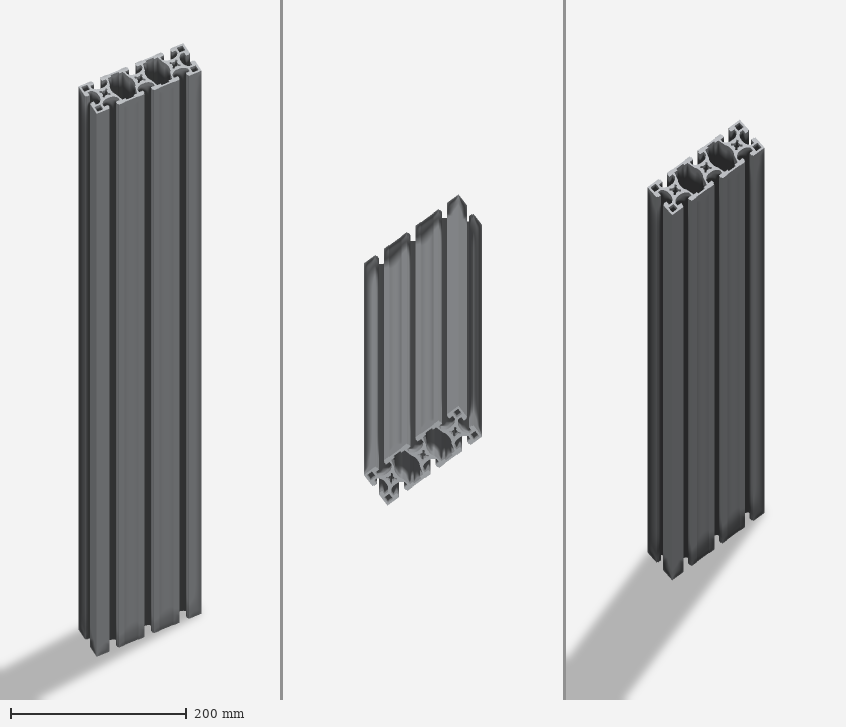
import cadquery as cq
import math

MODULE = 45.0
MODULE_COUNT = 3
LENGTH = 1000.0

MOUTH_HALF = 5.0
REBATE_HALF = 6.0
REBATE_DEPTH = 1.7
LIP_THICKNESS = 5.5
CAVITY_HALF = 10.1

FLOOR_DISTANCE = 8.05
FLOOR_FLAT_HALF = 1.4
FLOOR_RADIUS = 10.0
FLOOR_SWEEP = math.radians(39)

CORE_HOLE_RADIUS = 3.5
NOTCH_REACH = 6.5
NOTCH_WIDTH = 2.5

CORNER_HOLLOW_SIDE = 7.4

CHAMBER_HALF_X = 17.6
CHAMBER_WALL_HALF = 9.5
GROOVE_HALF = 5.0
GROOVE_DEPTH = 2.2

RECESS_HALF = 9.0
RECESS_DEPTH = 0.5

HALF_MODULE = MODULE / 2
MODULE_CENTRES = [(i - (MODULE_COUNT - 1) / 2) * MODULE for i in range(MODULE_COUNT)]
END_CENTRE = MODULE_CENTRES[-1]
JOINTS = [y + HALF_MODULE for y in MODULE_CENTRES[:-1]]


def floor_point(sweep):
    """Point on the right-hand floor arc, in a frame at the module centre."""
    across = FLOOR_FLAT_HALF + FLOOR_RADIUS * math.sin(sweep)
    outward = FLOOR_DISTANCE + FLOOR_RADIUS * (1 - math.cos(sweep))
    return across, outward


FLOOR_MIDDLE = floor_point(FLOOR_SWEEP / 2)
FLOOR_END = floor_point(FLOOR_SWEEP)


def mirrored(points):
    """The points reflected in the Y axis, in reverse order."""
    return [(-x, y) for x, y in reversed(points)]


def draw_lines(outline, points):
    for point in points:
        outline = outline.lineTo(*point)
    return outline


def draw_floor(outline, centre=0.0, side=1):
    """Add one floor of a core at y = centre; side is +1 for its +Y face and -1 for its -Y face."""

    def place(x, y):
        return side * x, centre + side * y

    outline = outline.threePointArc(place(*FLOOR_MIDDLE), place(FLOOR_FLAT_HALF, FLOOR_DISTANCE))
    outline = outline.lineTo(*place(-FLOOR_FLAT_HALF, FLOOR_DISTANCE))
    (left_middle,) = mirrored([FLOOR_MIDDLE])
    (left_end,) = mirrored([FLOOR_END])
    return outline.threePointArc(place(*left_middle), place(*left_end))


def slot_cutter():
    """T-slot opening toward +Y, for a module centred on the origin."""
    lip_inside = HALF_MODULE - LIP_THICKNESS
    rebate_floor = HALF_MODULE - REBATE_DEPTH
    web_end = FLOOR_END[1] + CAVITY_HALF - FLOOR_END[0]
    right_side = [
        (REBATE_HALF, HALF_MODULE),
        (REBATE_HALF, rebate_floor),
        (MOUTH_HALF, rebate_floor),
        (MOUTH_HALF, lip_inside),
        (CAVITY_HALF, lip_inside),
        (CAVITY_HALF, web_end),
    ]
    outline = cq.Workplane("XY").polyline(right_side + [FLOOR_END])
    outline = draw_floor(outline)
    outline = draw_lines(outline, mirrored(right_side))
    return outline.close().extrude(LENGTH)


def slot_cutters():
    """A slot on both X faces of every module and on the two Y ends."""
    places = [(angle, y) for y in MODULE_CENTRES for angle in (90, -90)]
    places += [(0, END_CENTRE), (180, -END_CENTRE)]
    slot = slot_cutter()
    return [slot.rotate((0, 0, 0), (0, 0, 1), angle).translate((0, y, 0)) for angle, y in places]


def chamber_cutter():
    """Chamber between two cores, centred on a joint at the origin."""
    groove_floor = CHAMBER_HALF_X + GROOVE_DEPTH
    right_wall = [
        (CHAMBER_HALF_X, CHAMBER_WALL_HALF),
        (CHAMBER_HALF_X, GROOVE_HALF),
        (groove_floor, GROOVE_HALF),
        (groove_floor, -GROOVE_HALF),
        (CHAMBER_HALF_X, -GROOVE_HALF),
        (CHAMBER_HALF_X, -CHAMBER_WALL_HALF),
    ]
    left_wall = [(-x, -y) for x, y in right_wall]
    floor_end_x = FLOOR_END[0]
    floor_end_y = HALF_MODULE - FLOOR_END[1]
    outline = cq.Workplane("XY").moveTo(floor_end_x, -floor_end_y)
    outline = draw_floor(outline, centre=-HALF_MODULE, side=1)
    outline = draw_lines(outline, left_wall)
    outline = outline.lineTo(-floor_end_x, floor_end_y)
    outline = draw_floor(outline, centre=HALF_MODULE, side=-1)
    outline = draw_lines(outline, right_wall)
    return outline.close().extrude(LENGTH)


def chamber_cutters():
    chamber = chamber_cutter()
    return [chamber.translate((0, y, 0)) for y in JOINTS]


def core_hole_cutters():
    hole = cq.Workplane("XY").circle(CORE_HOLE_RADIUS).extrude(LENGTH)
    notch_pair = cq.Workplane("XY").rect(2 * NOTCH_REACH, NOTCH_WIDTH).extrude(LENGTH)
    for angle in (45, 135):
        hole = hole.union(notch_pair.rotate((0, 0, 0), (0, 0, 1), angle))
    return [hole.translate((0, y, 0)) for y in MODULE_CENTRES]


def corner_hollow_cutters():
    offset = (HALF_MODULE + CAVITY_HALF) / 2
    hollow = cq.Workplane("XY").rect(CORNER_HOLLOW_SIDE, CORNER_HOLLOW_SIDE).extrude(LENGTH)
    corner_y = END_CENTRE + offset
    return [hollow.translate((x, y, 0)) for x in (-offset, offset) for y in (-corner_y, corner_y)]


def recess_cutters():
    recess = cq.Workplane("XY").rect(2 * RECESS_DEPTH, 2 * RECESS_HALF).extrude(LENGTH)
    return [recess.translate((x, y, 0)) for x in (-HALF_MODULE, HALF_MODULE) for y in JOINTS]


cutters = slot_cutters() + chamber_cutters() + core_hole_cutters()
cutters += corner_hollow_cutters() + recess_cutters()

blank = cq.Workplane("XY").rect(MODULE, MODULE * MODULE_COUNT).extrude(LENGTH)
result = cq.Workplane(blank.val().cut(*[cutter.val() for cutter in cutters]))